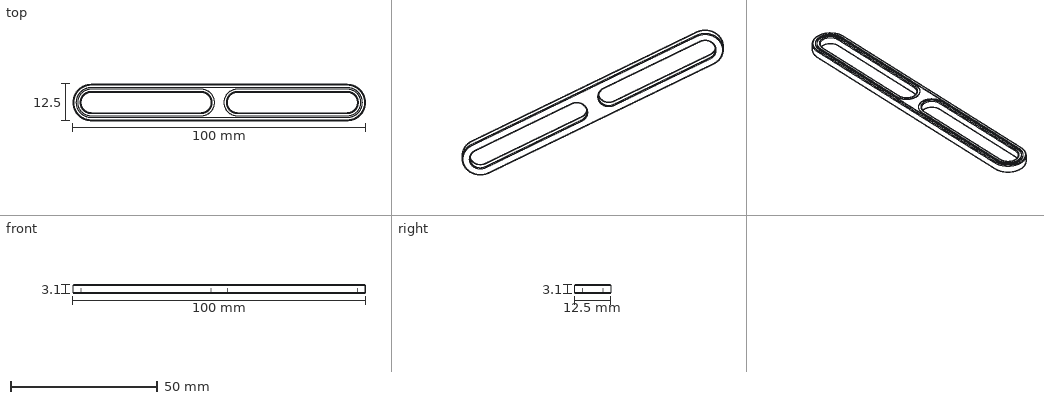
import cadquery as cq

LENGTH = 100.0
WIDTH = 12.5
THICKNESS = 3.1
EDGE_CHAMFER = 0.3

SLOT_WIDTH = 7.0
WALL = (WIDTH - SLOT_WIDTH) / 2
SLOT_LENGTH = LENGTH / 2 - 2 * WALL
SLOT_CENTER_X = LENGTH / 4

RIM_WIDTH = 1.1
RECESS_DEPTH = 0.2


def round_ended_bar(length, width, height, center_x=0.0, base_z=0.0):
    """Upright solid whose outline has straight sides and full-round ends."""
    return cq.Workplane("XY", origin=(center_x, 0, base_z)).slot2D(length, width).extrude(height)


def slot_bars(margin, height, base_z=0.0):
    """Both slot shapes, each enlarged all round by the margin."""
    length = SLOT_LENGTH + 2 * margin
    width = SLOT_WIDTH + 2 * margin
    left = round_ended_bar(length, width, height, -SLOT_CENTER_X, base_z)
    right = round_ended_bar(length, width, height, SLOT_CENTER_X, base_z)
    return left.add(right).combine()


def chamfered_body():
    """Bar with both slots cut through and every top and bottom edge chamfered."""
    body = round_ended_bar(LENGTH, WIDTH, THICKNESS).cut(slot_bars(0, THICKNESS))
    return body.faces("|Z").edges().chamfer(EDGE_CHAMFER)


def top_recess():
    """Material removed from the top face, leaving the outer rim and the slot rims."""
    floor_z = THICKNESS - RECESS_DEPTH
    length = LENGTH - 2 * RIM_WIDTH
    width = WIDTH - 2 * RIM_WIDTH
    recess = round_ended_bar(length, width, RECESS_DEPTH, base_z=floor_z)
    return recess.cut(slot_bars(RIM_WIDTH, RECESS_DEPTH, floor_z))


result = chamfered_body().cut(top_recess())